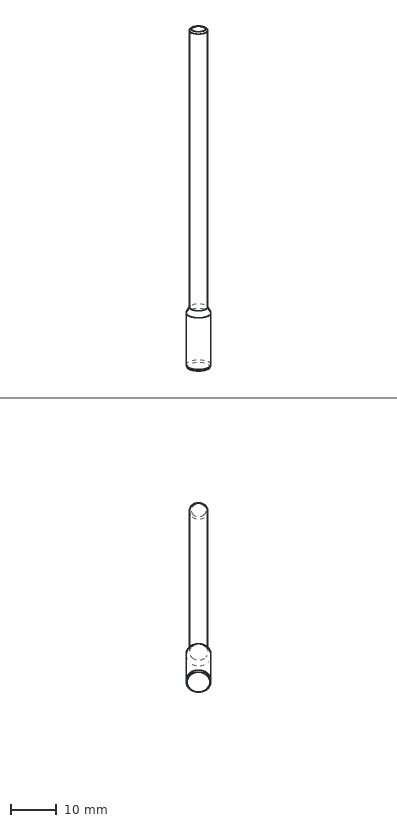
import cadquery as cq

total_length = 80.0
rod_diameter = 4.0
head_diameter = 5.4

head_straight_top = 12.7
head_length = 14.1
rod_length = total_length - head_length

rod_tip_chamfer = 0.4
head_bottom_height = 0.5
head_bottom_inset = 0.2

rod_radius = rod_diameter / 2
head_radius = head_diameter / 2


def make_head():
    """Cylindrical head with a chamfered bottom and a shoulder tapering to the rod diameter."""
    return (
        cq.Workplane("XZ")
        .moveTo(0, 0)
        .lineTo(head_radius - head_bottom_inset, 0)
        .lineTo(head_radius, head_bottom_height)
        .lineTo(head_radius, head_straight_top)
        .lineTo(rod_radius, head_length)
        .lineTo(0, head_length)
        .close()
        .revolve(360, (0, 0, 0), (0, 1, 0))
    )


def make_rod():
    """Long round rod standing on the head, with a chamfer around its free end."""
    return (
        cq.Workplane("XY", origin=(0, 0, head_length))
        .circle(rod_radius)
        .extrude(rod_length)
        .faces(">Z")
        .chamfer(rod_tip_chamfer)
    )


head = make_head()
rod = make_rod()

result = cq.Compound.makeCompound([head.val(), rod.val()])